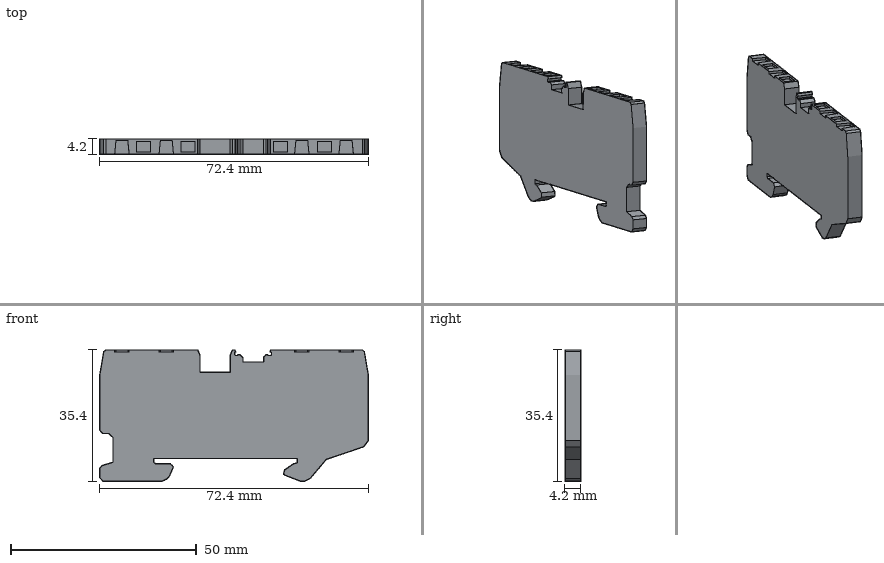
import cadquery as cq

length = 72.4
thickness = 4.2
height = 35.4
mid_x = length / 2

rail_seat_z = 6.1
claw_top_z = 4.8
left_recess_x = 3.55
left_ledge_z = 12.8
left_claw_slot_x = 14.6
right_claw_slot_x = 53.2

shoulder_z = 28.5
shoulder_top_z = 34.9
shoulder_inset = 1.1
top_inset = 1.7

slot_left_x = 27.1
slot_right_x = 35.1
slot_floor_z = 29.4
slot_lead_in = 0.65
slot_lead_in_z = 33.9
marker_left_x = 38.65
marker_right_x = 44.2
marker_floor_z = 32.15
marker_ledge_z = 34.1
snap_groove_z = 33.9
snap_lip_z = 34.7
snap_tip_z = 34.8

entry_depth = 0.65
entries_per_side = 2
entry_pitch = 11.95
first_notch_x = 6.0
notch_front_width = 3.9
notch_back_width = 3.2
notch_reach = 3.7
first_pocket_x = 11.8
pocket_length = 3.8
pocket_front_y = 0.65
pocket_back_y = 3.5

left_foot = [
    (0, 13.75),
    (0.9, left_ledge_z),
    (2.45, left_ledge_z),
    (left_recess_x, 11.8),
    (left_recess_x, 5.15),
    (0.65, 4.3),
    (0, 3.5),
    (0, 1.0),
    (0.95, 0),
    (16.9, 0),
    (18.2, 0.65),
    (18.8, 1.4),
    (19.9, 3.9),
    (19.05, claw_top_z),
    (15.0, claw_top_z),
    (left_claw_slot_x, 5.15),
    (left_claw_slot_x, rail_seat_z),
]

right_foot = [
    (right_claw_slot_x, rail_seat_z),
    (right_claw_slot_x, 5.0),
    (52.3, claw_top_z),
    (49.75, 3.05),
    (49.5, 1.9),
    (49.95, 1.6),
    (54.1, 0),
    (55.2, 0),
    (56.7, 0.7),
    (61.0, 5.9),
    (71.1, 9.3),
    (length, 11.0),
]

right_shoulder = [
    (length, shoulder_z),
    (length - shoulder_inset, shoulder_top_z),
    (length - top_inset, height),
]

marker_opening = [
    (46.05, height),
    (45.8, snap_tip_z),
    (46.25, snap_lip_z),
    (46.25, marker_ledge_z),
    (46.1, snap_groove_z),
    (45.4, snap_groove_z),
    (45.25, marker_ledge_z),
    (44.8, marker_ledge_z),
    (marker_right_x, 33.45),
    (marker_right_x, marker_floor_z),
    (marker_left_x, marker_floor_z),
    (marker_left_x, 33.3),
    (37.8, marker_ledge_z),
    (37.3, marker_ledge_z),
    (37.1, snap_groove_z),
    (36.6, snap_groove_z),
    (36.4, marker_ledge_z),
    (36.4, snap_lip_z),
    (36.7, snap_tip_z),
    (36.4, height),
]

top_slot = [
    (slot_right_x + slot_lead_in, height),
    (slot_right_x, slot_lead_in_z),
    (slot_right_x, slot_floor_z),
    (slot_left_x, slot_floor_z),
    (slot_left_x, slot_lead_in_z),
    (slot_left_x - slot_lead_in, height),
]

left_shoulder = [
    (top_inset, height),
    (shoulder_inset, shoulder_top_z),
    (0, shoulder_z),
]


def make_body():
    outline = left_foot + right_foot + right_shoulder + marker_opening + top_slot + left_shoulder
    return cq.Workplane("XZ").polyline(outline).close().extrude(-thickness)


def sink(points):
    """Solid to remove under a top-edge opening with the given XY corners."""
    floor = cq.Workplane("XY").workplane(offset=height - entry_depth)
    return floor.polyline(points).close().extrude(entry_depth)


def make_notch(x):
    """Notch open to the front face, narrowing toward the back."""
    return sink([
        (x - notch_front_width / 2, 0),
        (x + notch_front_width / 2, 0),
        (x + notch_back_width / 2, notch_reach),
        (x - notch_back_width / 2, notch_reach),
    ])


def make_pocket(x):
    """Closed rectangular pocket."""
    return sink([
        (x - pocket_length / 2, pocket_front_y),
        (x + pocket_length / 2, pocket_front_y),
        (x + pocket_length / 2, pocket_back_y),
        (x - pocket_length / 2, pocket_back_y),
    ])


result = make_body()
for step in range(entries_per_side):
    for side in (-1, 1):
        notch_offset = mid_x - first_notch_x - step * entry_pitch
        pocket_offset = mid_x - first_pocket_x - step * entry_pitch
        result = result.cut(make_notch(mid_x + side * notch_offset))
        result = result.cut(make_pocket(mid_x + side * pocket_offset))